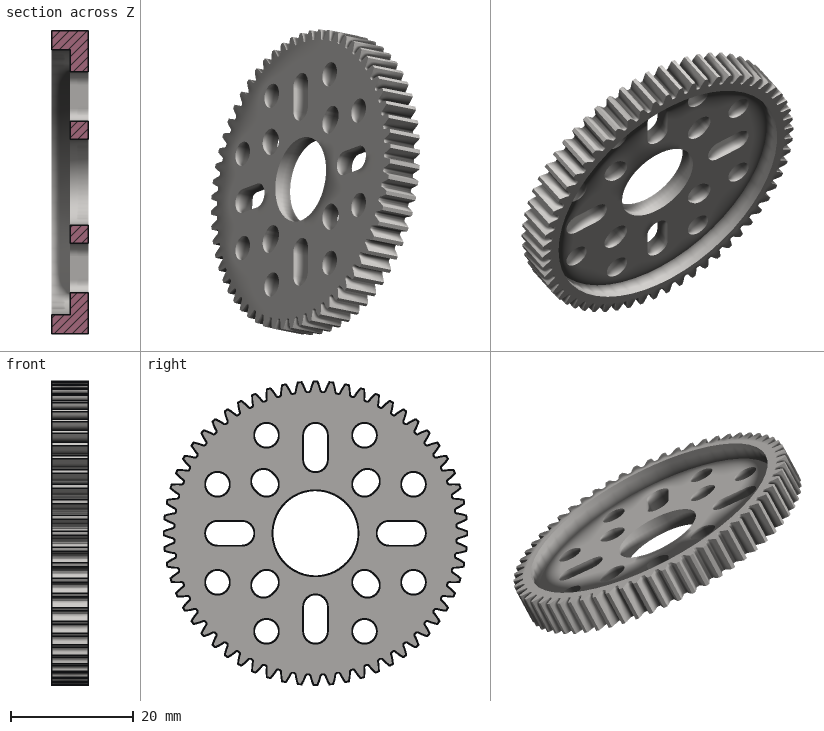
import cadquery as cq
import math


module = 0.8
tooth_count = 60
pressure_angle = math.radians(20)
pitch_radius = module * tooth_count / 2
tip_radius = pitch_radius + module
dedendum = 1.157 * module
root_radius = pitch_radius - dedendum
base_radius = pitch_radius * math.cos(pressure_angle)
tooth_pitch_angle = 2 * math.pi / tooth_count
root_fillet = 0.315
flank_point_count = 5

face_width = 6.0
web_thickness = 3.0
recess_depth = face_width - web_thickness
recess_diameter = 43.2
bore_diameter = 14.0

hole_diameter = 4.0
grid = 8.0
slot_inner_radius = 1.5 * grid
slot_outer_radius = 2 * grid
diagonal_inner_radius = grid * math.sqrt(2)
diagonal_outer_radius = 1.5 * grid


def polar(radius, angle):
    return (radius * math.cos(angle), radius * math.sin(angle))


def involute(angle):
    return math.tan(angle) - angle


def half_tooth_angle(radius):
    """Angle from the tooth centreline to its involute flank at a radius."""
    at_pitch = tooth_pitch_angle / 4 + involute(pressure_angle)
    return at_pitch - involute(math.acos(base_radius / radius))


def gear_blank():
    """Toothed disc from x = 0 to the face width, with rounded tooth roots."""
    radius_step = (tip_radius - root_radius) / (flank_point_count - 1)
    radii = [root_radius + i * radius_step for i in range(flank_point_count)]
    root_half_angle = half_tooth_angle(root_radius)

    outline = cq.Workplane("YZ").moveTo(*polar(root_radius, -root_half_angle))
    for tooth in range(tooth_count):
        center = tooth * tooth_pitch_angle
        rising = [polar(r, center - half_tooth_angle(r)) for r in radii]
        falling = [polar(r, center + half_tooth_angle(r)) for r in reversed(radii)]
        gap_middle = polar(root_radius, center + tooth_pitch_angle / 2)
        gap_end = polar(root_radius, center + tooth_pitch_angle - root_half_angle)
        outline = (
            outline.spline(rising[1:], includeCurrent=True)
            .threePointArc(polar(tip_radius, center), falling[0])
            .spline(falling[1:], includeCurrent=True)
            .threePointArc(gap_middle, gap_end)
        )
    blank = outline.close().extrude(face_width)

    middle_radius = (root_radius + tip_radius) / 2
    root_edges = [
        edge
        for edge in blank.edges("|X").vals()
        if math.hypot(edge.Center().y, edge.Center().z) < middle_radius
    ]
    return blank.newObject(root_edges).fillet(root_fillet)


def radial_slots(inner_radius, outer_radius, first_angle):
    """Four round-ended through slots whose end centres lie on two radii."""
    return (
        cq.Workplane("YZ")
        .polarArray((inner_radius + outer_radius) / 2, first_angle, 360, 4)
        .slot2D(outer_radius - inner_radius + hole_diameter, hole_diameter)
        .extrude(face_width)
    )


def round_holes():
    """Eight through holes at the (1, 2) and (2, 1) positions of the grid."""
    points = []
    for y_sign in (-1, 1):
        for z_sign in (-1, 1):
            points.append((y_sign * grid, z_sign * 2 * grid))
            points.append((y_sign * 2 * grid, z_sign * grid))
    return cq.Workplane("YZ").pushPoints(points).circle(hole_diameter / 2).extrude(face_width)


def central_openings():
    """Recess on the x = 0 side and the bore through the web behind it."""
    recess = cq.Workplane("YZ").circle(recess_diameter / 2).extrude(recess_depth)
    bore = cq.Workplane("YZ").circle(bore_diameter / 2).extrude(face_width)
    return recess.union(bore)


openings = (
    central_openings()
    .union(radial_slots(slot_inner_radius, slot_outer_radius, 0))
    .union(radial_slots(diagonal_inner_radius, diagonal_outer_radius, 45))
    .union(round_holes())
)

result = gear_blank().cut(openings)